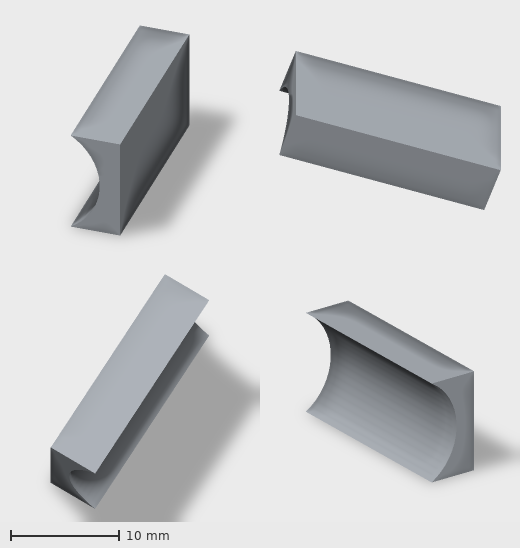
import cadquery as cq

depth = 4.85
length = 20.0
height = 10.0

wall = 2.0

half_depth = depth / 2
half_height = height / 2
groove_bottom_x = half_depth - wall

profile = (
    cq.Workplane("XZ")
    .moveTo(-half_depth, -half_height)
    .lineTo(half_depth, -half_height)
    .lineTo(half_depth, half_height)
    .lineTo(-half_depth, half_height)
    .threePointArc((groove_bottom_x, 0), (-half_depth, -half_height))
    .close()
)

result = profile.extrude(length / 2, both=True)